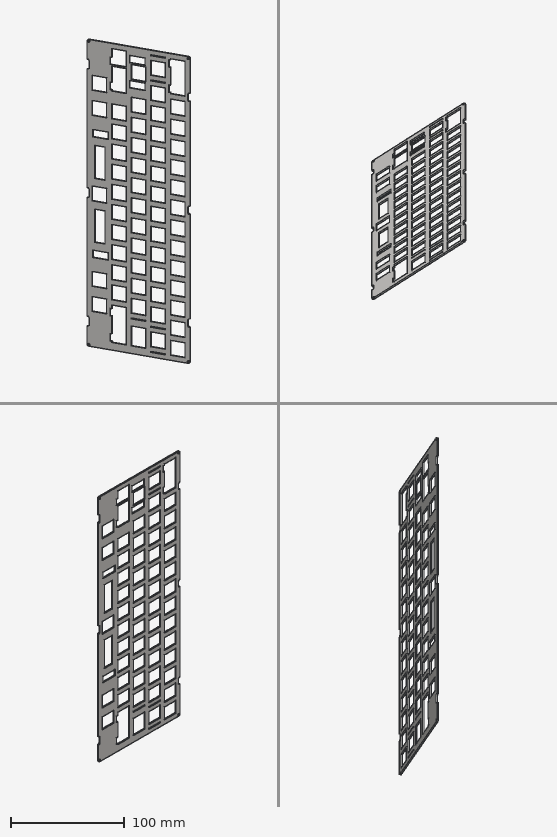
import cadquery as cq


length = 290.5
margin = 2.38
thickness = 1.5
tilt = 6.0
row_count = 5
row_length_in_keys = 15
pitch = (length - 2 * margin) / row_length_in_keys
width = row_count * pitch + 2 * margin

key_edge_gap = 2.5
key_size = pitch - 2 * key_edge_gap

stabilizer_width = 15.0
stabilizer_height = 7.0
stabilizer_offset = 1.2
stabilizer_spacing = 12.0
space_bar_spacing = 3 * pitch

clearance_width = 10.0
clearance_height = 31.5
clearance_offset = 0.5
clearance_spacing = 30.2

slit_height = 1.0
slit_spacing = 12.0
home_slit_spacing = 16.5

notch_depth = 2.0
notch_corner_radius = 1.5
left_notch_length = 9.3
left_notch_distance = 121.7
right_notch_length = 7.8
right_notch_distance = 107.0

corner_radius = 2.0
hole_diameter = 1.95
hole_inset = 1.6

cut_depth = 2 * thickness

SPACE_ROW, SHIFT_ROW, HOME_ROW, TAB_ROW, NUMBER_ROW = range(row_count)

SPACE_BAR = row_length_in_keys / 2
LEFT_SHIFT = 1.125
RIGHT_SHIFT = 13.625
ENTER = 13.875
BACKSPACE = 14.0
TAB_ROW_ENDS = [0.75, 14.25]
HOME_ROW_START = 0.75


def row_x(row):
    """X of the centre line of a row."""
    return (row - (row_count - 1) / 2) * pitch


def key_z(position):
    """Z of a position counted in key pitches."""
    return (position - row_length_in_keys / 2) * pitch


def box_cutter(x, z, size_x, size_z):
    """Box that passes through the plate at (x, z)."""
    return cq.Workplane("XY").box(size_x, cut_depth, size_z).translate((x, 0, z))


def key_run(row, first, last):
    """One opening that reaches from the first key position to the last."""
    centre = (first + last) / 2
    return box_cutter(row_x(row), key_z(centre), key_size, key_size + (last - first) * pitch)


def stabilizer_pair(row, centre, spacing, offset):
    """Two stabilizer boxes, spaced equally above and below a wide key."""
    return [
        box_cutter(row_x(row) + offset, key_z(centre) + step, stabilizer_width, stabilizer_height)
        for step in (-spacing, spacing)
    ]


def single_keys():
    """Openings for one switch each."""
    positions = {
        SPACE_ROW: [2.0, 3.25, SPACE_BAR, 11.75, 13.0],
        SHIFT_ROW: [2.75 + i for i in range(10)],
        HOME_ROW: [2.25 + i for i in range(11)] + [ENTER],
        TAB_ROW: [2.0 + i for i in range(12)] + TAB_ROW_ENDS,
        NUMBER_ROW: [0.5 + i for i in range(13)],
    }
    return [key_run(row, p, p) for row, places in positions.items() for p in places]


def long_keys():
    """Openings that are longer than one switch."""
    stabilizer_position = RIGHT_SHIFT + stabilizer_spacing / pitch
    last_shift_start = stabilizer_position + (key_size - stabilizer_height) / 2 / pitch
    return [
        key_run(SHIFT_ROW, 0.625, 1.75),
        key_run(SHIFT_ROW, 13.125, RIGHT_SHIFT),
        key_run(SHIFT_ROW, last_shift_start, 14.5),
        key_run(HOME_ROW, HOME_ROW_START - 0.125, HOME_ROW_START + 0.125),
        key_run(NUMBER_ROW, BACKSPACE - 0.5, BACKSPACE + 0.5),
    ]


def stabilizers():
    """Stabilizer boxes of the wide keys; those of the space bar face the other way."""
    cutters = stabilizer_pair(SPACE_ROW, SPACE_BAR, space_bar_spacing, stabilizer_offset)
    wide_keys = [
        (SHIFT_ROW, LEFT_SHIFT),
        (SHIFT_ROW, RIGHT_SHIFT),
        (HOME_ROW, ENTER),
        (NUMBER_ROW, BACKSPACE),
    ]
    for row, centre in wide_keys:
        cutters += stabilizer_pair(row, centre, stabilizer_spacing, -stabilizer_offset)
    return cutters


def clearance_slots():
    """Two long slots, one on each side of the space bar switch."""
    x = row_x(SPACE_ROW) + clearance_offset
    return [
        box_cutter(x, key_z(SPACE_BAR) + step, clearance_width, clearance_height)
        for step in (-clearance_spacing, clearance_spacing)
    ]


def slits():
    """Narrow slits as wide as a key."""
    places = [(HOME_ROW, key_z(HOME_ROW_START) + home_slit_spacing)]
    for centre in TAB_ROW_ENDS:
        places += [(TAB_ROW, key_z(centre) + step) for step in (-slit_spacing, slit_spacing)]
    return [box_cutter(row_x(row), z, key_size, slit_height) for row, z in places]


def edge_notches():
    """Three notches in each long edge, rounded at their inner corners."""
    cutters = []
    sides = [
        (-1, left_notch_length, left_notch_distance),
        (1, right_notch_length, right_notch_distance),
    ]
    for side, notch_length, distance in sides:
        for z in (-distance, 0, distance):
            notch = box_cutter(side * width / 2, z, 2 * notch_depth, notch_length)
            cutters.append(notch.edges("|Y").fillet(notch_corner_radius))
    return cutters


def corner_holes():
    """A small hole in each corner."""
    return (
        cq.Workplane("XZ")
        .rect(width - 2 * hole_inset, length - 2 * hole_inset, forConstruction=True)
        .vertices()
        .circle(hole_diameter / 2)
        .extrude(cut_depth / 2, both=True)
    )


plate = cq.Workplane("XY").box(width, thickness, length).edges("|Y").fillet(corner_radius)
for cutter in single_keys() + long_keys() + stabilizers() + clearance_slots() + slits() + edge_notches():
    plate = plate.cut(cutter)
plate = plate.cut(corner_holes())

result = plate.rotate((0, 0, 0), (0, 0, 1), tilt)